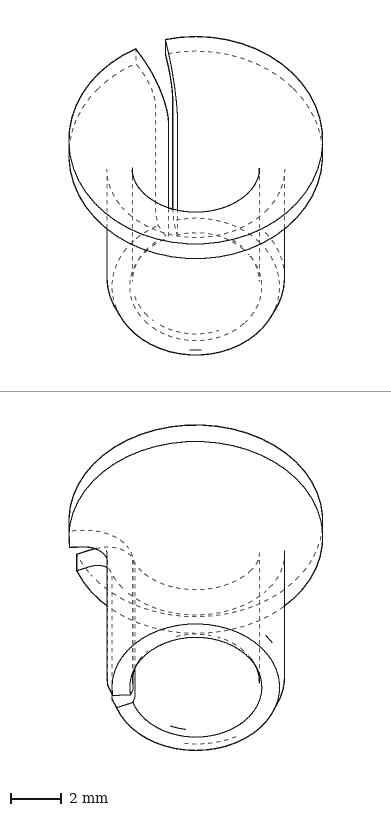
import cadquery as cq
import math

height = 10.0
flange_radius = 5.0
flange_thickness = 1.0
bore_radius = 2.5
body_radius = 3.5

fillet_radius = 1.0
funnel_radius = fillet_radius + flange_thickness
curve_centre_r = body_radius + fillet_radius
curve_centre_z = height - funnel_radius

taper_height = 0.62
taper_inset = 0.2

countersink_height = 0.31
countersink_width = 0.1

slit_apex_x = -1.43
slit_half_angle = 10.0
slit_reach = 1.2 * flange_radius


def arc_middle(radius):
    """Midpoint of the quarter arc facing the axis and the top."""
    offset = radius * math.sqrt(0.5)
    return (curve_centre_r - offset, curve_centre_z + offset)


def make_sleeve():
    profile = (
        cq.Workplane("XZ")
        .moveTo(bore_radius, countersink_height)
        .lineTo(bore_radius + countersink_width, 0)
        .lineTo(body_radius - taper_inset, 0)
        .lineTo(body_radius, taper_height)
        .lineTo(body_radius, curve_centre_z)
        .threePointArc(arc_middle(fillet_radius), (curve_centre_r, height - flange_thickness))
        .lineTo(flange_radius, height - flange_thickness)
        .lineTo(flange_radius, height)
        .lineTo(curve_centre_r, height)
        .threePointArc(arc_middle(funnel_radius), (bore_radius, curve_centre_z))
        .close()
    )
    sleeve = profile.revolve(360, (0, 0, 0), (0, 1, 0))
    return sleeve.rotate((0, 0, 0), (0, 0, 1), 180)


def make_slit():
    half_width = (slit_reach + slit_apex_x) * math.tan(math.radians(slit_half_angle))
    outline = [(slit_apex_x, 0), (-slit_reach, half_width), (-slit_reach, -half_width)]
    return cq.Workplane("XY").polyline(outline).close().extrude(height)


result = make_sleeve().cut(make_slit())